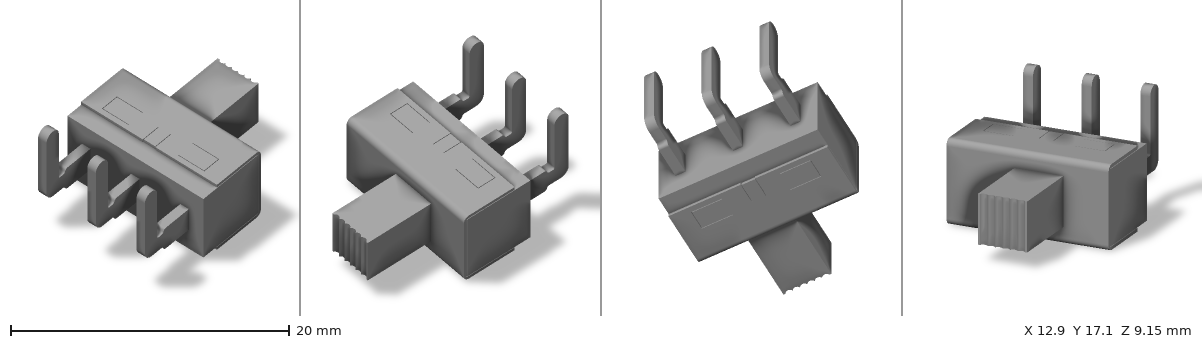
import cadquery as cq
import math


case_width = 12.95
case_depth = 6.3
cover_height = 6.57
cover_depth = 4.8
sheet = 0.27
cover_edge_radius = 0.5
gap = 0.05

cover_front = case_depth - cover_depth
cover_inner_back = case_depth - sheet
cover_inner_height = cover_height - 2 * sheet
housing_depth = cover_inner_back - gap
housing_height = cover_inner_height - 2 * gap

window_length = 2.51
window_depth = 1.65
window_front = 1.93
window_inner_x = 2.36

slot_width = 1.2
slot_end = 3.6
slot_radius = slot_width / 2
key_width = slot_width - 2 * gap

slider_size = 3.9
slider_length = 6.0
slider_x = -0.9
scallop_count = 6
scallop_pitch = 0.6
scallop_depth = 0.19

terminal_pitch = 4.69
terminal_columns = (-1, 0, 1)
terminal_thickness = 0.8
terminal_length = 4.8
tail_length = 2.67
tail_width = 2.09
strip_width = 1.33
shoulder_angle = math.radians(65)
shoulder_radius = 0.22
bend_outer_radius = 0.75
bend_inner_radius = 0.15
tip_radius = 0.65
overall_height = 9.15
terminal_top = overall_height - cover_height / 2


def block(x_start, x_end, y_start, y_end, z_start, z_end):
    """Rectangular block between the given limits."""
    size = (x_end - x_start, y_end - y_start, z_end - z_start)
    return cq.Workplane("XY").box(*size, centered=False).translate((x_start, y_start, z_start))


def mirrored_pair(shape):
    """The shape and its mirror image across the middle plane X = 0."""
    return shape.union(shape.mirror("YZ"))


def make_housing():
    """Housing block with four lugs that fill the cover windows, up to the outer cover faces."""
    body = block(-case_width / 2, case_width / 2, 0, housing_depth, -housing_height / 2, housing_height / 2)
    lug = block(
        window_inner_x, window_inner_x + window_length - gap,
        window_front + gap, window_front + window_depth - gap,
        -cover_height / 2, cover_height / 2,
    )
    return body.union(mirrored_pair(lug))


def slot_shape():
    """Round-ended slot from the front edge of the cover, through the full cover height."""
    arc_centre = slot_end - slot_radius
    return (
        cq.Workplane("XY", origin=(0, 0, -cover_height / 2))
        .moveTo(-slot_radius, cover_front)
        .lineTo(-slot_radius, arc_centre)
        .threePointArc((0, slot_end), (slot_radius, arc_centre))
        .lineTo(slot_radius, cover_front)
        .close()
        .extrude(cover_height)
    )


def make_cover():
    """U-shaped cover, open at both ends, with windows, slots and the slider opening."""
    half_width = case_width / 2
    half_height = cover_height / 2
    shell = block(-half_width, half_width, cover_front, case_depth, -half_height, half_height)
    shell = shell.edges("|X and >Y").fillet(cover_edge_radius)
    inside = block(
        -half_width, half_width, cover_front, cover_inner_back,
        -cover_inner_height / 2, cover_inner_height / 2,
    )
    window = block(
        window_inner_x, window_inner_x + window_length,
        window_front, window_front + window_depth,
        -half_height, half_height,
    )
    opening = slider_bar(cover_inner_back, case_depth)
    return shell.cut(inside).cut(mirrored_pair(window)).cut(slot_shape()).cut(opening)


def make_key(side):
    """Key in one slot: touches the round end, clears the sides and the front; side is +1 or -1."""
    wall_middle = side * (cover_height - sheet) / 2
    limits = block(
        -key_width / 2, key_width / 2, cover_front + gap, slot_end,
        wall_middle - sheet / 2, wall_middle + sheet / 2,
    )
    return slot_shape().intersect(limits)


def slider_bar(y_start, y_end):
    """Square bar with the slider's cross-section."""
    half = slider_size / 2
    return block(slider_x - half, slider_x + half, y_start, y_end, -half, half)


def make_slider():
    """Bar that stands on the housing's back face; a row of scallops shapes its tip."""
    tip = case_depth + slider_length
    bar = slider_bar(housing_depth, tip)
    first_edge = slider_x - scallop_count * scallop_pitch / 2
    cutter = cq.Workplane("XY", origin=(0, 0, -slider_size / 2))
    for index in range(scallop_count):
        left = first_edge + index * scallop_pitch
        scallop = (
            cutter.moveTo(left, tip)
            .threePointArc((left + scallop_pitch / 2, tip - scallop_depth), (left + scallop_pitch, tip))
            .close()
            .extrude(slider_size)
        )
        bar = bar.cut(scallop)
    return bar


def make_terminal(x_middle):
    """Bent terminal with its tail on the housing's front face, centred on the given X."""
    half_tail = tail_width / 2
    half_strip = strip_width / 2
    shoulder_start = -tail_length
    shoulder_end = shoulder_start - (half_tail - half_strip) / math.tan(shoulder_angle)
    leg_outer = -terminal_length
    leg_inner = leg_outer + strip_width
    profile = [
        (0, half_tail),
        (shoulder_start, half_tail),
        (shoulder_end, half_strip),
        (leg_inner, half_strip),
        (leg_inner, terminal_top),
        (leg_outer, terminal_top),
        (leg_outer, -half_strip),
        (shoulder_end, -half_strip),
        (shoulder_start, -half_tail),
        (0, -half_tail),
    ]
    blank = (
        cq.Workplane("YZ", origin=(x_middle - terminal_thickness / 2, 0, 0))
        .polyline(profile)
        .close()
        .extrude(terminal_thickness)
    )

    def round_corners(shape, radius, corners):
        for y, z in corners:
            shape = shape.edges(cq.NearestToPointSelector((x_middle, y, z))).fillet(radius)
        return shape

    shoulders = [
        (y, side * z)
        for side in (1, -1)
        for y, z in ((shoulder_start, half_tail), (shoulder_end, half_strip))
    ]
    blank = round_corners(blank, shoulder_radius, shoulders)
    blank = round_corners(blank, bend_inner_radius, [(leg_inner, half_strip)])
    blank = round_corners(blank, bend_outer_radius, [(leg_outer, -half_strip)])
    return round_corners(blank, tip_radius, [(leg_inner, terminal_top), (leg_outer, terminal_top)])


housing = make_housing()
cover = make_cover()
slider = make_slider()
keys = [make_key(side) for side in (1, -1)]
terminals = [make_terminal(column * terminal_pitch) for column in terminal_columns]

result = cq.Compound.makeCompound(
    [housing.val(), cover.val(), slider.val()]
    + [key.val() for key in keys]
    + [terminal.val() for terminal in terminals]
)